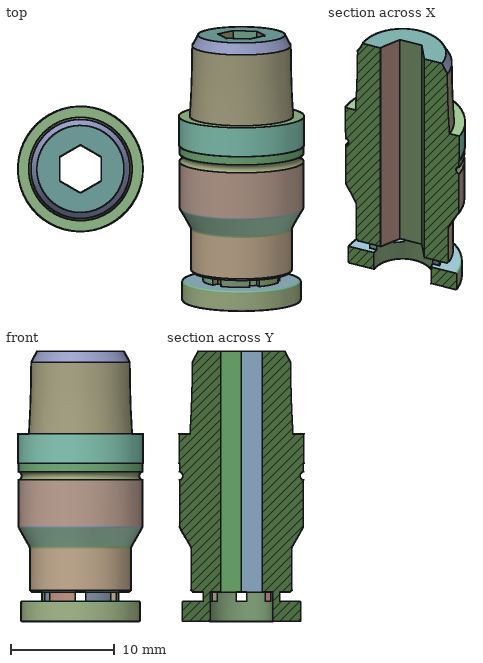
import cadquery as cq
import math

total_height = 26.1
flange_height = 1.98
body_bottom = 2.85
neck_top = 7.18
shoulder_top = 9.14
groove_bottom = 13.68
groove_top = 14.45
collar_bottom = 15.27
collar_top = 18.11
nose_top = 25.03

flange_diameter = 11.5
neck_diameter = 9.8
body_diameter = 12
collar_diameter = 12.1
nose_base_diameter = 10.0
nose_top_diameter = 9.55
tip_diameter = 8.4

groove_depth = 0.31
shoulder_fillet = 0.4
neck_edge_chamfer = 0.2
flange_edge_fillet = 0.18

hex_across_flats = 4.0
hex_sides = 6
ring_outer_diameter = 7.45
ring_bore_diameter = 6
slot_width = 1.0
slot_count = 6


def make_body():
    """Revolved body: neck, shoulder, grooved barrel, collar and rounded nose."""
    neck_radius = neck_diameter / 2
    body_radius = body_diameter / 2
    collar_radius = collar_diameter / 2
    base_radius = nose_base_diameter / 2
    top_radius = nose_top_diameter / 2
    groove_middle = (groove_bottom + groove_top) / 2

    nose_height = nose_top - collar_top
    nose_flare = base_radius - top_radius
    arc_radius = (nose_height**2 + nose_flare**2) / (2 * nose_flare)
    half_angle = math.asin(nose_height / arc_radius) / 2
    nose_middle = (
        top_radius + arc_radius * (1 - math.cos(half_angle)),
        nose_top - arc_radius * math.sin(half_angle),
    )

    profile = (
        cq.Workplane("XZ")
        .moveTo(0, body_bottom)
        .lineTo(neck_radius, body_bottom)
        .lineTo(neck_radius, neck_top)
        .lineTo(body_radius, shoulder_top)
        .lineTo(body_radius, groove_bottom)
        .threePointArc((body_radius - groove_depth, groove_middle), (body_radius, groove_top))
        .lineTo(body_radius, collar_bottom)
        .lineTo(collar_radius, collar_bottom)
        .lineTo(collar_radius, collar_top)
        .lineTo(base_radius, collar_top)
        .threePointArc(nose_middle, (top_radius, nose_top))
        .lineTo(tip_diameter / 2, total_height)
        .lineTo(0, total_height)
        .close()
    )
    body = profile.revolve(360, (0, 0, 0), (0, 1, 0))
    body = body.faces("<Z").edges().chamfer(neck_edge_chamfer)
    shoulder_ends = body.edges(cq.selectors.BoxSelector(
        (-body_diameter, -body_diameter, (body_bottom + neck_top) / 2),
        (body_diameter, body_diameter, (shoulder_top + groove_bottom) / 2),
    )).edges("%CIRCLE")
    return shoulder_ends.fillet(shoulder_fillet)


def make_flange():
    """Flat bottom disc with rounded rims."""
    disc = cq.Workplane("XY").circle(flange_diameter / 2).extrude(flange_height)
    return disc.edges("%CIRCLE").fillet(flange_edge_fillet)


def make_slotted_ring():
    """Ring joining flange and body, divided into posts by radial slots."""
    ring_height = body_bottom - flange_height
    ring_plane = cq.Workplane("XY").workplane(offset=flange_height)
    ring = ring_plane.circle(ring_outer_diameter / 2).extrude(ring_height)
    for index in range(slot_count // 2):
        slot = ring_plane.rect(slot_width, 2 * ring_outer_diameter).extrude(ring_height)
        ring = ring.cut(slot.rotate((0, 0, 0), (0, 0, 1), index * 360 / slot_count))
    return ring


def make_hex_socket():
    """Hexagonal through hole with corners on the Y axis."""
    across_corners = hex_across_flats / math.cos(math.pi / hex_sides)
    hexagon = cq.Workplane("XY").polygon(hex_sides, across_corners).extrude(total_height)
    return hexagon.rotate((0, 0, 0), (0, 0, 1), 90)


ring_bore = cq.Workplane("XY").circle(ring_bore_diameter / 2).extrude(body_bottom)

result = make_body().union(make_slotted_ring()).union(make_flange())
result = result.cut(ring_bore).cut(make_hex_socket())